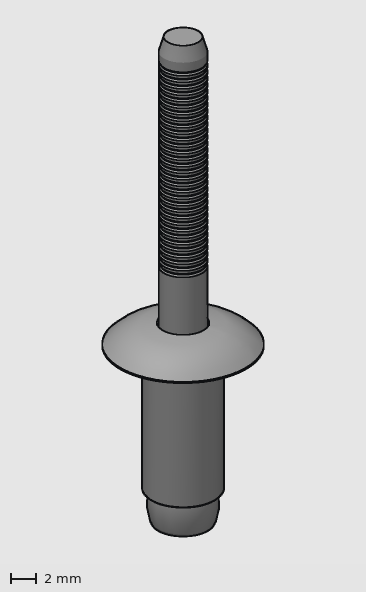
import cadquery as cq
import math

TOTAL_LENGTH = 43.6
FLANGE_DIAMETER = 12.7
FLANGE_RIM_HEIGHT = 0.15
FLANGE_HEIGHT = 2.0

SLEEVE_DIAMETER = 6.45
SLEEVE_LENGTH = 12.8
SLEEVE_CHAMFER = 0.15
BORE_DIAMETER = 4.1

PIN_DIAMETER = 3.85
PIN_TIP_DIAMETER = 3.05
PIN_TIP_LENGTH = 1.3

HEAD_LENGTH = 3.45
HEAD_TOP_DIAMETER = 5.4
HEAD_BULGE_DIAMETER = 5.7
HEAD_LOWER_DIAMETER = 5.25
HEAD_BARREL_LENGTH = 2.6
HEAD_EDGE_DIAMETER = 4.97
HEAD_EDGE_LENGTH = 0.25

GROOVE_COUNT = 32
GROOVED_LENGTH = 17.9
GROOVE_WIDTH = 0.325
GROOVE_DEPTH = 0.15
FIRST_GROOVE_DROP = 2.3

HEAD_END_Z = -SLEEVE_LENGTH - HEAD_LENGTH
PIN_TOP_Z = HEAD_END_Z + TOTAL_LENGTH
GROOVE_PITCH = GROOVED_LENGTH / (GROOVE_COUNT - 1)
PIN_RADIUS = PIN_DIAMETER / 2
BORE_RADIUS = BORE_DIAMETER / 2
SLEEVE_RADIUS = SLEEVE_DIAMETER / 2
FLANGE_RADIUS = FLANGE_DIAMETER / 2


def revolve_profile(profile):
    """Turn a closed radius-height profile into a solid around the Z axis."""
    return profile.close().revolve(360, (0, 0, 0), (0, 1, 0))


def make_sleeve():
    """Tubular rivet body with its domed flange."""
    dome_span = FLANGE_RADIUS - BORE_RADIUS
    dome_rise = FLANGE_HEIGHT - FLANGE_RIM_HEIGHT
    dome_arc_radius = (dome_span**2 + dome_rise**2) / (2 * dome_rise)
    dome_mid_drop = dome_arc_radius - math.sqrt(dome_arc_radius**2 - (dome_span / 2) ** 2)
    dome_mid = (BORE_RADIUS + dome_span / 2, FLANGE_HEIGHT - dome_mid_drop)

    profile = (
        cq.Workplane("XZ")
        .moveTo(BORE_RADIUS, -SLEEVE_LENGTH)
        .lineTo(BORE_RADIUS, FLANGE_HEIGHT)
        .threePointArc(dome_mid, (FLANGE_RADIUS, FLANGE_RIM_HEIGHT))
        .lineTo(FLANGE_RADIUS, 0)
        .lineTo(SLEEVE_RADIUS, 0)
        .lineTo(SLEEVE_RADIUS, -SLEEVE_LENGTH + SLEEVE_CHAMFER)
        .lineTo(SLEEVE_RADIUS - SLEEVE_CHAMFER, -SLEEVE_LENGTH)
    )
    return revolve_profile(profile)


def make_pin():
    """Pin with a barrel-shaped head, a grooved shank and a tapered tip."""
    barrel_top_z = -SLEEVE_LENGTH
    barrel_bottom_z = barrel_top_z - HEAD_BARREL_LENGTH
    edge_z = barrel_bottom_z - HEAD_EDGE_LENGTH
    edge_radius = HEAD_EDGE_DIAMETER / 2

    cap_height = edge_z - HEAD_END_Z
    cap_sphere_radius = (edge_radius**2 + cap_height**2) / (2 * cap_height)
    cap_mid_radius = edge_radius / 2
    cap_mid_z = HEAD_END_Z + cap_sphere_radius - math.sqrt(cap_sphere_radius**2 - cap_mid_radius**2)

    profile = (
        cq.Workplane("XZ")
        .moveTo(0, HEAD_END_Z)
        .threePointArc((cap_mid_radius, cap_mid_z), (edge_radius, edge_z))
        .lineTo(HEAD_LOWER_DIAMETER / 2, barrel_bottom_z)
        .threePointArc(
            (HEAD_BULGE_DIAMETER / 2, (barrel_top_z + barrel_bottom_z) / 2),
            (HEAD_TOP_DIAMETER / 2, barrel_top_z),
        )
        .lineTo(PIN_RADIUS, barrel_top_z)
    )

    for index in reversed(range(GROOVE_COUNT)):
        groove_z = PIN_TOP_Z - FIRST_GROOVE_DROP - index * GROOVE_PITCH
        profile = (
            profile.lineTo(PIN_RADIUS, groove_z - GROOVE_WIDTH / 2)
            .lineTo(PIN_RADIUS - GROOVE_DEPTH, groove_z)
            .lineTo(PIN_RADIUS, groove_z + GROOVE_WIDTH / 2)
        )

    profile = (
        profile.lineTo(PIN_RADIUS, PIN_TOP_Z - PIN_TIP_LENGTH)
        .lineTo(PIN_TIP_DIAMETER / 2, PIN_TOP_Z)
        .lineTo(0, PIN_TOP_Z)
    )
    return revolve_profile(profile)


result = make_sleeve().union(make_pin())